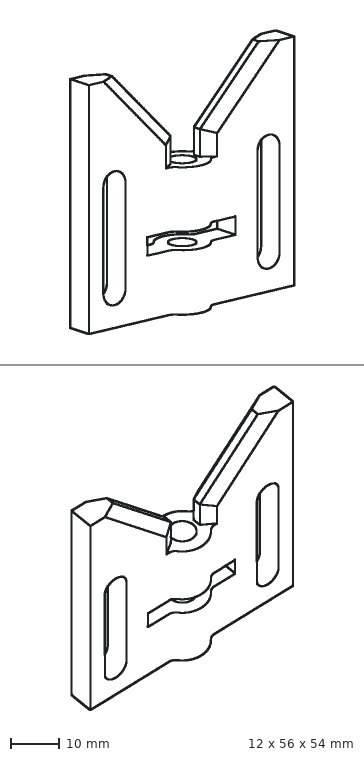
import cadquery as cq
import math

plate_length = 56.0
plate_height = 54.0
plate_thickness = 6.0

barrel_diameter = 12.0
barrel_height = 32.0
bore_diameter = 6.0
blend_radius = 2.0

notch_half_width = 4.0
notch_half_mouth = 20.0
bevel_depth = 2.0
throat_bevel_width = 3.0
mouth_bevel_width = 4.0

slot_width = 6.0
slot_offset = 21.0
slot_bottom = 5.0
slot_top = 34.0

window_length = 24.0
window_bottom = 14.0
window_height = 4.0


def make_plate():
    return cq.Workplane("XY").box(
        plate_thickness, plate_length, plate_height, centered=(True, True, False)
    )


def make_barrel():
    """Cylinder with concave blends tangent to it and to the plate faces."""
    barrel_radius = barrel_diameter / 2
    half_thickness = plate_thickness / 2
    blend_x = half_thickness + blend_radius
    blend_y = math.sqrt((barrel_radius + blend_radius) ** 2 - blend_x**2)
    barrel = cq.Workplane("XY").circle(barrel_radius).extrude(barrel_height)

    tangent_ratio = barrel_radius / (barrel_radius + blend_radius)
    filler_x = blend_x * tangent_ratio
    filler_y = blend_y * tangent_ratio
    filler = (
        cq.Workplane("XY")
        .polyline([
            (0, 0),
            (filler_x, filler_y),
            (half_thickness, blend_y),
            (0, blend_y),
        ])
        .close()
        .extrude(barrel_height)
        .cut(cq.Workplane("XY").center(blend_x, blend_y).circle(blend_radius).extrude(barrel_height))
    )
    filler_pair = filler.union(filler.mirror("YZ"))
    return barrel.union(filler_pair).union(filler_pair.mirror("XZ"))


def notch_profile(x, half_width, half_mouth):
    """Closed notch outline at the given X, open to the plate top."""
    flank_bottom = plate_height - (half_mouth - half_width)
    return (
        cq.Workplane("YZ", origin=(x, 0, 0))
        .polyline([
            (-half_width, barrel_height),
            (half_width, barrel_height),
            (half_width, flank_bottom),
            (half_mouth, plate_height),
            (-half_mouth, plate_height),
            (-half_width, flank_bottom),
        ])
        .close()
    )


def make_notch():
    """Straight notch plus a flared bevel reaching each plate face."""
    half_thickness = plate_thickness / 2
    straight = notch_profile(-half_thickness, notch_half_width, notch_half_mouth).extrude(plate_thickness)
    inner = notch_profile(bevel_depth - half_thickness, notch_half_width, notch_half_mouth)
    outer = notch_profile(
        -half_thickness,
        notch_half_width + throat_bevel_width,
        notch_half_mouth + mouth_bevel_width,
    )
    flare = cq.Workplane(
        cq.Solid.makeLoft([outer.wires().val(), inner.wires().val()], True)
    )
    return straight.union(flare).union(flare.mirror("YZ"))


def make_slots():
    slot_length = slot_top - slot_bottom
    slot_middle = (slot_top + slot_bottom) / 2
    return (
        cq.Workplane("YZ")
        .pushPoints([(-slot_offset, slot_middle), (slot_offset, slot_middle)])
        .slot2D(slot_length, slot_width, 90)
        .extrude(plate_thickness, both=True)
    )


def make_window():
    return cq.Workplane("XY", origin=(0, 0, window_bottom)).box(
        barrel_diameter, window_length, window_height, centered=(True, True, False)
    )


bore = cq.Workplane("XY").circle(bore_diameter / 2).extrude(barrel_height)

result = (
    make_plate()
    .cut(make_notch())
    .union(make_barrel())
    .cut(bore)
    .cut(make_slots())
    .cut(make_window())
)